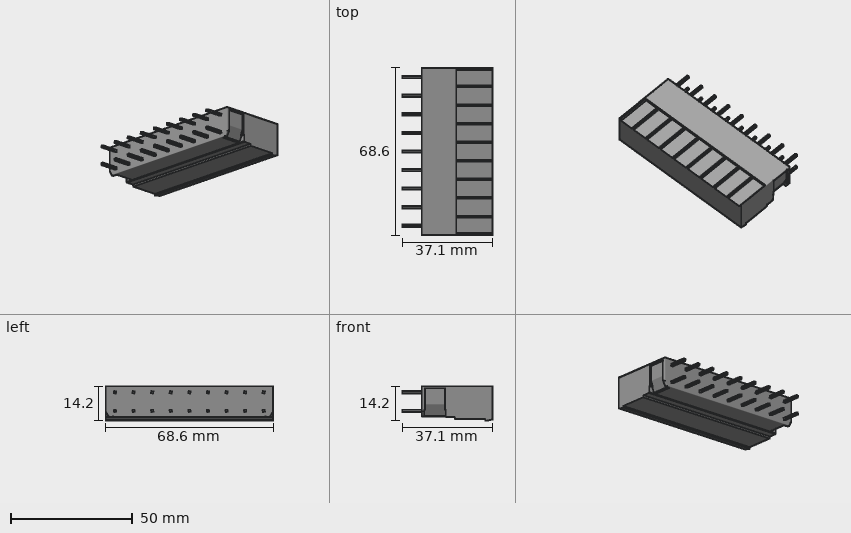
import cadquery as cq

length = 68.6
module_count = 9
pitch = length / module_count
housing_depth = 29.1
nose_depth = 9.8
nose_bottom = -12.5
step_bottom = -12.75
step_end = 13.45
step_ramp = 0.3
rear_bottom = -13.6
hook_start = 26.05
hook_flat_end = 26.7
hook_bottom = -14.25
hook_tip = -13.7
edge_round = 0.2

corner_width = 1.2
corner_height = 2.05

tray_start = 14.1
tray_depth = 0.95
rib_top = 0.4
rib_base = 0.8
end_rib_top = 0.55
end_rib_base = 0.95

recess_start = 1.3
recess_end = 9.6
recess_top = -0.9
recess_depth = 0.6
recess_wall_taper = 0.2
slope_top = -7.5
slope_bottom = -12.1
slope_depth = 2.55
slope_round = 0.55
lip_depth = 3.2
wide_top = -9.8
wide_start = 1.1
wide_end = nose_depth

pin_side = 0.9
pin_length = 7.95
pin_embed = 1.4
pin_twist = 15.0
upper_pin_z = -2.55
lower_pin_z = upper_pin_z - pitch


def make_housing():
    nose = (
        cq.Workplane("YZ")
        .moveTo(-length / 2, 0)
        .lineTo(length / 2, 0)
        .lineTo(length / 2, nose_bottom + corner_height)
        .lineTo(length / 2 - corner_width, nose_bottom)
        .lineTo(-length / 2 + corner_width, nose_bottom)
        .lineTo(-length / 2, nose_bottom + corner_height)
        .close()
        .extrude(nose_depth)
    )
    rear = (
        cq.Workplane("XZ", origin=(0, length / 2, 0))
        .moveTo(nose_depth, 0)
        .lineTo(housing_depth, 0)
        .lineTo(housing_depth, hook_tip)
        .lineTo(hook_flat_end, hook_bottom)
        .lineTo(hook_start, hook_bottom)
        .lineTo(hook_start, rear_bottom)
        .lineTo(step_end + step_ramp, rear_bottom)
        .lineTo(step_end, step_bottom)
        .lineTo(nose_depth + step_ramp, step_bottom)
        .lineTo(nose_depth, nose_bottom)
        .close()
        .extrude(length)
    )
    housing = nose.union(rear)
    return housing.edges("<X or (>Z and |X)").fillet(edge_round)


def make_tray(index):
    """Pocket between two ribs, widening upwards between their tapered sides."""
    low_wall = -length / 2 + index * pitch
    high_wall = low_wall + pitch
    low_top, low_base = rib_top / 2, rib_base / 2
    high_top, high_base = low_top, low_base
    if index == 0:
        low_top, low_base = end_rib_top, end_rib_base
    if index == module_count - 1:
        high_top, high_base = end_rib_top, end_rib_base
    return (
        cq.Workplane("YZ", origin=(tray_start, 0, 0))
        .moveTo(low_wall + low_top, 0)
        .lineTo(high_wall - high_top, 0)
        .lineTo(high_wall - high_base, -tray_depth)
        .lineTo(low_wall + low_base, -tray_depth)
        .close()
        .extrude(housing_depth - tray_start)
    )


def make_recess():
    """Recess in the -Y end: a flat upper floor that slopes inwards towards the bottom."""
    end_y = -length / 2
    floor = (
        cq.Workplane("YZ")
        .moveTo(end_y, recess_top)
        .lineTo(end_y + recess_depth, recess_top)
        .lineTo(end_y + recess_depth, slope_top)
        .lineTo(end_y + slope_depth, slope_bottom)
        .lineTo(end_y + lip_depth, nose_bottom)
        .lineTo(end_y, nose_bottom)
        .close()
        .extrude(nose_depth)
    )
    slope_edge = cq.selectors.NearestToPointSelector((nose_depth / 2, end_y + recess_depth, slope_top))
    floor = floor.edges("|X").edges(slope_edge).fillet(slope_round)
    tapered_walls = (
        cq.Workplane("XY")
        .moveTo(recess_start, end_y)
        .lineTo(recess_end, end_y)
        .lineTo(recess_end - recess_wall_taper, end_y + recess_depth)
        .lineTo(recess_end - recess_wall_taper, end_y + lip_depth)
        .lineTo(recess_start + recess_wall_taper, end_y + lip_depth)
        .lineTo(recess_start + recess_wall_taper, end_y + recess_depth)
        .close()
        .extrude(nose_bottom)
    )
    wide_walls = cq.Workplane("XY").box(
        wide_end - wide_start, lip_depth, wide_top - nose_bottom, centered=False
    ).translate((wide_start, end_y, nose_bottom))
    return floor.intersect(tapered_walls.union(wide_walls))


def make_pin_row(height, twist):
    pin = (
        cq.Workplane("YZ")
        .rect(pin_side, pin_side)
        .extrude(pin_length + pin_embed)
        .rotate((0, 0, 0), (1, 0, 0), twist)
    )
    row = cq.Workplane("XY")
    for index in range(module_count):
        pin_y = -length / 2 + (index + 0.5) * pitch
        row = row.add(pin.translate((-pin_length, pin_y, height)))
    return row.combine()


result = make_housing()
for tray_index in range(module_count):
    result = result.cut(make_tray(tray_index))
recess = make_recess()
result = result.cut(recess).cut(recess.mirror("XZ"))
result = result.union(make_pin_row(upper_pin_z, pin_twist))
result = result.union(make_pin_row(lower_pin_z, -pin_twist))